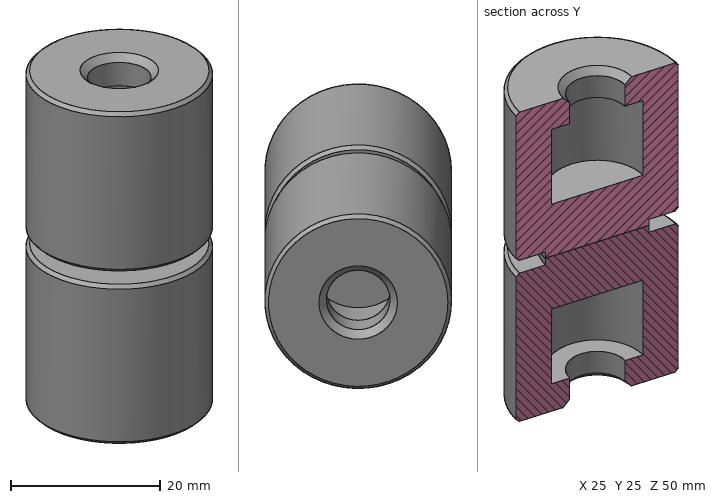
import cadquery as cq

total_height = 50.0
body_diameter = 25.0
gap = 2.0
body_height = (total_height - gap) / 2
edge_chamfer = 0.5

neck_diameter = 16.0
neck_height = gap / 2

hole_diameter = 8.5
hole_depth = 4.5
hole_chamfer = 1.0
cavity_diameter = 14.0
cavity_height = 12.0


def make_half():
    """Upper half: a chamfered cylinder with a neck below it, the neck's end face on Z = 0."""
    barrel = (
        cq.Workplane("XY")
        .workplane(offset=neck_height)
        .circle(body_diameter / 2)
        .extrude(body_height)
        .edges()
        .chamfer(edge_chamfer)
    )
    neck = cq.Workplane("XY").circle(neck_diameter / 2).extrude(neck_height + edge_chamfer)
    return cut_cavity(cut_end_hole(barrel.union(neck)))


def cut_end_hole(half):
    """Cut the end hole and its countersunk mouth in the outer end face."""
    top = total_height / 2
    mouth_radius = hole_diameter / 2 + hole_chamfer
    hole = (
        cq.Workplane("XY")
        .workplane(offset=top - hole_depth)
        .circle(hole_diameter / 2)
        .extrude(hole_depth)
    )
    mouth = (
        cq.Workplane("XY")
        .workplane(offset=top)
        .circle(mouth_radius)
        .workplane(offset=-hole_chamfer)
        .circle(hole_diameter / 2)
        .loft(ruled=True)
    )
    return half.cut(hole).cut(mouth)


def cut_cavity(half):
    """Cut the closed-bottomed cavity that the end hole opens into."""
    cavity_roof = total_height / 2 - hole_depth
    cavity = (
        cq.Workplane("XY")
        .workplane(offset=cavity_roof)
        .circle(cavity_diameter / 2)
        .extrude(-cavity_height)
    )
    return half.cut(cavity)


upper_half = make_half()
lower_half = make_half().rotate((0, 0, 0), (1, 0, 0), 180)

result = cq.Compound.makeCompound([upper_half.val(), lower_half.val()])